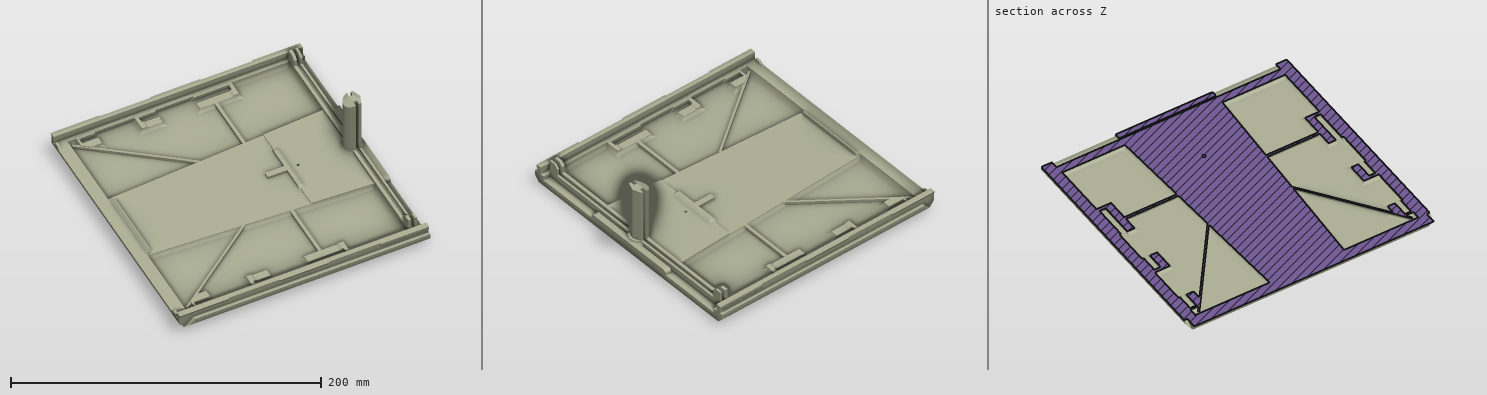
import cadquery as cq
import math

WIDTH = 188.0
LENGTH = 180.0
HALF_WIDTH = WIDTH / 2
DECK_Z = 7.9
RIB_TOP_Z = 10.2
FLANGE_EDGE_Z = 4.0
BOTTOM_HALF_WIDTH = 90.2

LIP_BOTTOM_Z = 5.6
UNDERCUT_DEPTH = 3.8
UNDERCUT_Z = 1.5
FLANGE_END_TOP_Y = 10.0
FLANGE_END_BOTTOM_Y = 1.9

RAIL_OUTER_X = 91.7
RAIL_INNER_X = 88.4
RAIL_TOP_Z = 13.5
LIP_OUTER_X = 92.5
SNAP_LIPS = [
    (0.0, 35.3, 11.7, 13.2),
    (72.0, 107.7, 11.7, 13.2),
    (145.1, LENGTH, 10.5, 11.7),
]

POCKET_DEPTH = 3.2
FLOOR_Z = DECK_Z - POCKET_DEPTH
COVE_RADIUS = 3.0
POCKET_OUTER_X = 85.5
POCKET_FRONT_Y = 8.6
POCKET_BACK_Y = 168.3
PANEL_BACK_HALF_WIDTH = 37.0
PANEL_FRONT_HALF_WIDTH = 28.2

BLOCK_INNER_X = 74.5
FRONT_BLOCK_Y = (14.9, 28.0)
MIDDLE_BLOCK_Y = (56.8, 71.6)
REAR_BLOCK_Y = (98.9, 126.9)
SLOT_OUTER_X = 84.5
SLOT_INNER_X = 79.9
FRONT_SLOT_Y = 16.4
BAR_THICKNESS = 2.5
TONGUE_DROP = 1.0
STEP_OFFSET = 3.4
STEP_LENGTH = 1.5

CROSS_RIB_Y = 110.2
CROSS_RIB_WIDTH = 2.3
CROSS_RIB_INNER_X = 33.8
DIAGONAL_RIB_WIDTH = 1.5
DIAGONAL_START = (32.0, 76.7)
DIAGONAL_END = (81.8, 10.3)

PANEL_STEP_Y = 124.0
PANEL_Z = 7.1
PANEL_OVERCUT = 0.2
UPSTAND_TOP_Z = RIB_TOP_Z
UPSTAND_SLOPE = 2.5
UPSTAND_TOP_WIDTH = 0.8
UPSTAND_HALF_LENGTH = 27.5
UPSTAND_END_SLOPE = 1.3

TEE_TOP_Z = 9.2
TEE_FRONT_Y = 123.0
TEE_BACK_Y = 125.4
TEE_FOOT_Y = 127.8
TEE_HALF_LENGTH = 17.3
TEE_FOOT_HALF_LENGTH = 20.0
STEM_HALF_WIDTH = 2.0
STEM_FRONT_Y = 109.0
HOLE_DIAMETER = 2.0
HOLE_Y = 132.0
HOLE_DEPTH = 2.8

BACK_RIBS_Y = [(POCKET_BACK_Y, 170.5), (173.0, 174.5)]
HOOK_OUTER_X = POCKET_OUTER_X
HOOK_INNER_X = 78.2
HOOK_TOP_Z = 18.2
HOOK_CHAMFER = 2.8
STRIP_FRONT_Y = BACK_RIBS_Y[1][1]
HUMP_HALF_LENGTH = 37.6
HUMP_FRONT_Y = 175.2
HUMP_ROUND = 3.0

PILLAR_RADIUS = 6.8
PILLAR_Y = 171.5
PILLAR_FLAT_Y = 170.3
PILLAR_TOP_Z = 51.0
PILLAR_CHAMFER_Z = 2.6
NECK_HALF_WIDTH = 2.8
HEAD_FRONT_Y = 172.8
HEAD_EAVES_Y = STRIP_FRONT_Y
HEAD_RIDGE_Y = 176.7
HEAD_HALF_WIDTH = 6.2
BASE_COVE = 2.3

TAB_OUTER_X = 86.1
TAB_INNER_X = 80.5
TAB_CHAMFER = 2.3
TAB_DEPTH = 1.7
TAB_TOP_Z = RIB_TOP_Z


def box(x0, x1, y0, y1, z0, z1):
    """Axis-aligned box between two corners."""
    return cq.Workplane("XY").box(x1 - x0, y1 - y0, z1 - z0, centered=False).translate((x0, y0, z0))


def prism_xz(points, y0, y1):
    """XZ outline extruded from y0 to y1."""
    return cq.Workplane("XZ", origin=(0, y0, 0)).polyline(points).close().extrude(y0 - y1)


def prism_yz(points, x0, x1):
    """YZ outline extruded from x0 to x1."""
    return cq.Workplane("YZ", origin=(x0, 0, 0)).polyline(points).close().extrude(x1 - x0)


def prism_xy(points, z0, z1):
    """XY outline extruded from z0 to z1."""
    return cq.Workplane("XY", origin=(0, 0, z0)).polyline(points).close().extrude(z1 - z0)


def both_sides(solid):
    """The solid joined with its mirror image across X = 0."""
    return solid.union(solid.mirror("YZ"))


def make_plate():
    """Base plate with chamfered flanges, an undercut front and shortened flange ends."""
    section = [
        (-BOTTOM_HALF_WIDTH, 0),
        (BOTTOM_HALF_WIDTH, 0),
        (HALF_WIDTH, FLANGE_EDGE_Z),
        (HALF_WIDTH, DECK_Z),
        (-HALF_WIDTH, DECK_Z),
        (-HALF_WIDTH, FLANGE_EDGE_Z),
    ]
    undercut = prism_yz(
        [(0, 0), (UNDERCUT_DEPTH, 0), (UNDERCUT_DEPTH, UNDERCUT_Z), (0, LIP_BOTTOM_Z)],
        -HALF_WIDTH, HALF_WIDTH,
    )
    flange_end = prism_yz(
        [(0, 0), (FLANGE_END_BOTTOM_Y, 0), (FLANGE_END_TOP_Y, DECK_Z), (0, DECK_Z)],
        RAIL_OUTER_X, HALF_WIDTH,
    )
    return prism_xz(section, 0, LENGTH).cut(undercut).cut(both_sides(flange_end))


def make_rail():
    """Upright rail along one side, with its three snap lips."""
    rail = box(RAIL_INNER_X, RAIL_OUTER_X, 0, LENGTH, DECK_Z, RAIL_TOP_Z)
    for y0, y1, start_z, full_z in SNAP_LIPS:
        lip = [
            (RAIL_INNER_X, start_z),
            (RAIL_OUTER_X, start_z),
            (LIP_OUTER_X, full_z),
            (LIP_OUTER_X, RAIL_TOP_Z),
            (RAIL_INNER_X, RAIL_TOP_Z),
        ]
        rail = rail.union(prism_xz(lip, y0, y1))
    return rail


def line_value(at, start, end):
    """Second coordinate of the straight line through start and end where the first equals at."""
    return start[1] + (end[1] - start[1]) * (at - start[0]) / (end[0] - start[0])


def diagonal_y(x):
    """Y of the diagonal rib's centre line at a given X."""
    return line_value(x, DIAGONAL_START, DIAGONAL_END)


def diagonal_x(y):
    """X of the diagonal rib's centre line at a given Y."""
    return line_value(y, DIAGONAL_START[::-1], DIAGONAL_END[::-1])


def panel_half_width(y):
    """Half width of the tapered centre panel at a given Y."""
    return line_value(y, (POCKET_FRONT_Y, PANEL_FRONT_HALF_WIDTH), (POCKET_BACK_Y, PANEL_BACK_HALF_WIDTH))


def make_pocket():
    """Pocket cutter whose outline steps around the three blocks.

    The lower edges are coved, except along the outer wall between the front and rear blocks.
    """
    outline = [
        (POCKET_OUTER_X, POCKET_BACK_Y),
        (PANEL_BACK_HALF_WIDTH, POCKET_BACK_Y),
        (PANEL_FRONT_HALF_WIDTH, POCKET_FRONT_Y),
        (POCKET_OUTER_X, POCKET_FRONT_Y),
    ]
    for y0, y1 in (FRONT_BLOCK_Y, MIDDLE_BLOCK_Y, REAR_BLOCK_Y):
        outline += [
            (POCKET_OUTER_X, y0),
            (BLOCK_INNER_X, y0),
            (BLOCK_INNER_X, y1),
            (POCKET_OUTER_X, y1),
        ]
    cutter = prism_xy(outline, FLOOR_Z, DECK_Z)

    def is_coved(edge):
        middle = edge.Center()
        on_outer_wall = math.isclose(middle.x, POCKET_OUTER_X)
        return not (on_outer_wall and FRONT_BLOCK_Y[1] < middle.y < REAR_BLOCK_Y[0])

    return cutter.faces("<Z").edges().filter(is_coved).fillet(COVE_RADIUS)


def make_front_clearance():
    """Removes the front block and its cove where they lie in front of the diagonal rib."""
    x0 = BLOCK_INNER_X - COVE_RADIUS
    y0 = POCKET_FRONT_Y + COVE_RADIUS
    return prism_xy([(x0, y0), (diagonal_x(y0), y0), (x0, diagonal_y(x0))], FLOOR_Z, DECK_Z)


def make_slots():
    """Slots beside the tongues of the three blocks, down to the pocket floor."""
    slot_ends = [
        (FRONT_SLOT_Y, FRONT_BLOCK_Y[1] + COVE_RADIUS),
        (MIDDLE_BLOCK_Y[0] + BAR_THICKNESS, MIDDLE_BLOCK_Y[1] + COVE_RADIUS),
        (REAR_BLOCK_Y[0] - COVE_RADIUS, REAR_BLOCK_Y[1] - BAR_THICKNESS),
    ]
    slots = cq.Workplane("XY")
    for y0, y1 in slot_ends:
        slots = slots.union(box(SLOT_INNER_X, SLOT_OUTER_X, y0, y1, FLOOR_Z, DECK_Z))
    return slots


def make_tongue_drop(bar_y, end_y):
    """Lowers a block's tongue from just past its bar, with a sloped step at the bar."""
    toward_end = math.copysign(1, end_y - bar_y)
    start_y = bar_y + toward_end * STEP_OFFSET
    low_z = DECK_Z - TONGUE_DROP
    profile = [
        (start_y, DECK_Z),
        (start_y + toward_end * STEP_LENGTH, low_z),
        (end_y + toward_end * COVE_RADIUS, low_z),
        (end_y + toward_end * COVE_RADIUS, DECK_Z),
    ]
    return prism_yz(profile, BLOCK_INNER_X - COVE_RADIUS, SLOT_INNER_X)


def make_pocket_ribs():
    """Straight cross rib and diagonal rib of one pocket."""
    cross = box(
        CROSS_RIB_INNER_X, BLOCK_INNER_X,
        CROSS_RIB_Y - CROSS_RIB_WIDTH / 2, CROSS_RIB_Y + CROSS_RIB_WIDTH / 2,
        FLOOR_Z, PANEL_Z,
    )
    run_x = DIAGONAL_END[0] - DIAGONAL_START[0]
    run_y = DIAGONAL_END[1] - DIAGONAL_START[1]
    diagonal = (
        cq.Workplane("XY")
        .rect(math.hypot(run_x, run_y), DIAGONAL_RIB_WIDTH)
        .extrude(PANEL_Z - FLOOR_Z)
        .rotate((0, 0, 0), (0, 0, 1), math.degrees(math.atan2(run_y, run_x)))
        .translate((DIAGONAL_START[0] + run_x / 2, DIAGONAL_START[1] + run_y / 2, FLOOR_Z))
    )
    return cross.union(diagonal)


def make_panel_recess():
    """Lowers the centre panel between its step and its front edge."""
    back_x = panel_half_width(PANEL_STEP_Y) + PANEL_OVERCUT
    front_x = panel_half_width(POCKET_FRONT_Y) + PANEL_OVERCUT
    outline = [
        (-back_x, PANEL_STEP_Y),
        (back_x, PANEL_STEP_Y),
        (front_x, POCKET_FRONT_Y),
        (-front_x, POCKET_FRONT_Y),
    ]
    return prism_xy(outline, PANEL_Z, DECK_Z)


def make_upstand():
    """Low wall along the panel's front edge, with a sloped front face and sloped ends."""
    top_y = POCKET_FRONT_Y + UPSTAND_SLOPE
    back_y = top_y + UPSTAND_TOP_WIDTH
    profile = [
        (POCKET_FRONT_Y, PANEL_Z),
        (POCKET_FRONT_Y, DECK_Z),
        (top_y, UPSTAND_TOP_Z),
        (back_y, UPSTAND_TOP_Z),
        (back_y, PANEL_Z),
    ]
    top_x = UPSTAND_HALF_LENGTH - UPSTAND_END_SLOPE
    front_outline = [
        (-UPSTAND_HALF_LENGTH, PANEL_Z),
        (UPSTAND_HALF_LENGTH, PANEL_Z),
        (UPSTAND_HALF_LENGTH, DECK_Z),
        (top_x, UPSTAND_TOP_Z),
        (-top_x, UPSTAND_TOP_Z),
        (-UPSTAND_HALF_LENGTH, DECK_Z),
    ]
    wall = prism_yz(profile, -UPSTAND_HALF_LENGTH, UPSTAND_HALF_LENGTH)
    return wall.intersect(prism_xz(front_outline, POCKET_FRONT_Y, back_y))


def make_tee():
    """T-shaped rib whose bar has sloped back and ends."""
    bar = prism_yz(
        [
            (TEE_FRONT_Y, PANEL_Z),
            (TEE_FOOT_Y, PANEL_Z),
            (TEE_FOOT_Y, DECK_Z),
            (TEE_BACK_Y, TEE_TOP_Z),
            (TEE_FRONT_Y, TEE_TOP_Z),
        ],
        -TEE_FOOT_HALF_LENGTH, TEE_FOOT_HALF_LENGTH,
    )
    ends = prism_xz(
        [
            (-TEE_FOOT_HALF_LENGTH, PANEL_Z),
            (TEE_FOOT_HALF_LENGTH, PANEL_Z),
            (TEE_HALF_LENGTH, TEE_TOP_Z),
            (-TEE_HALF_LENGTH, TEE_TOP_Z),
        ],
        TEE_FRONT_Y, TEE_FOOT_Y,
    )
    stem = box(-STEM_HALF_WIDTH, STEM_HALF_WIDTH, STEM_FRONT_Y, TEE_BACK_Y, PANEL_Z, TEE_TOP_Z)
    return bar.intersect(ends).union(stem)


def make_back_edge():
    """Twin ribs with a hook plate standing on each end, and the hump in the strip behind."""
    edge = box(-HUMP_HALF_LENGTH, HUMP_HALF_LENGTH, HUMP_FRONT_Y, LENGTH, FLOOR_Z, DECK_Z)
    edge = edge.edges("|Y and >Z").fillet(HUMP_ROUND)
    hook = [
        (HOOK_OUTER_X, DECK_Z),
        (HOOK_OUTER_X, HOOK_TOP_Z),
        (HOOK_INNER_X + HOOK_CHAMFER, HOOK_TOP_Z),
        (HOOK_INNER_X, HOOK_TOP_Z - HOOK_CHAMFER),
        (HOOK_INNER_X, DECK_Z),
    ]
    for y0, y1 in BACK_RIBS_Y:
        edge = edge.union(box(-HOOK_OUTER_X, HOOK_OUTER_X, y0, y1, DECK_Z, RIB_TOP_Z))
        edge = edge.union(both_sides(prism_xz(hook, y0, y1)))
    return edge


def make_pillar():
    """Half-round pillar with a neck and a roof-shaped head behind, on a coved base."""
    height = PILLAR_TOP_Z - DECK_Z
    front = cq.Workplane("XY", origin=(0, PILLAR_Y, DECK_Z)).circle(PILLAR_RADIUS).extrude(height)
    front = front.cut(
        box(-PILLAR_RADIUS, PILLAR_RADIUS, PILLAR_FLAT_Y, PILLAR_Y + PILLAR_RADIUS, DECK_Z, PILLAR_TOP_Z)
    )
    front_y = PILLAR_Y - PILLAR_RADIUS
    chamfer = prism_yz(
        [
            (front_y, PILLAR_TOP_Z - PILLAR_CHAMFER_Z),
            (PILLAR_FLAT_Y, PILLAR_TOP_Z),
            (front_y, PILLAR_TOP_Z),
        ],
        -PILLAR_RADIUS, PILLAR_RADIUS,
    )
    back = [
        (NECK_HALF_WIDTH, PILLAR_FLAT_Y),
        (NECK_HALF_WIDTH, HEAD_FRONT_Y),
        (HEAD_HALF_WIDTH, HEAD_FRONT_Y),
        (HEAD_HALF_WIDTH, HEAD_EAVES_Y),
        (0, HEAD_RIDGE_Y),
        (-HEAD_HALF_WIDTH, HEAD_EAVES_Y),
        (-HEAD_HALF_WIDTH, HEAD_FRONT_Y),
        (-NECK_HALF_WIDTH, HEAD_FRONT_Y),
        (-NECK_HALF_WIDTH, PILLAR_FLAT_Y),
    ]
    return front.cut(chamfer).union(prism_xy(back, DECK_Z, PILLAR_TOP_Z)).union(make_pillar_base())


def make_pillar_base():
    """Concave flare around the foot, open at the rib groove and flush with the back edge."""
    reach = PILLAR_RADIUS + BASE_COVE
    flare = (
        cq.Workplane("XZ", origin=(0, PILLAR_Y, DECK_Z))
        .lineTo(reach, 0)
        .radiusArc((PILLAR_RADIUS, BASE_COVE), BASE_COVE)
        .lineTo(0, BASE_COVE)
        .close()
        .revolve(360, (0, 0, 0), (0, 1, 0))
    )
    groove = box(-reach, reach, BACK_RIBS_Y[0][1], BACK_RIBS_Y[1][0], DECK_Z, PILLAR_TOP_Z)
    return flare.intersect(box(-reach, reach, 0, LENGTH, DECK_Z, PILLAR_TOP_Z)).cut(groove)


def make_tab():
    """Small chamfered tab standing on the front edge."""
    profile = [
        (TAB_OUTER_X, DECK_Z),
        (TAB_OUTER_X, TAB_TOP_Z),
        (TAB_INNER_X + TAB_CHAMFER, TAB_TOP_Z),
        (TAB_INNER_X, DECK_Z),
    ]
    return prism_xz(profile, 0, TAB_DEPTH)


plate = make_plate()
pockets = make_pocket().union(make_front_clearance()).union(make_slots())
pockets = pockets.union(make_tongue_drop(REAR_BLOCK_Y[1], REAR_BLOCK_Y[0]))
pockets = pockets.union(make_tongue_drop(*MIDDLE_BLOCK_Y))
back_strip = box(-POCKET_OUTER_X, POCKET_OUTER_X, STRIP_FRONT_Y, LENGTH, FLOOR_Z, DECK_Z)
plate = plate.cut(both_sides(pockets)).cut(make_panel_recess()).cut(back_strip)

side_features = make_rail().union(make_pocket_ribs()).union(make_tab())
plate = plate.union(both_sides(side_features))
plate = plate.union(make_upstand()).union(make_tee())
plate = plate.union(make_back_edge()).union(make_pillar())
hole = cq.Workplane("XY", origin=(0, HOLE_Y, DECK_Z)).circle(HOLE_DIAMETER / 2).extrude(-HOLE_DEPTH)
result = plate.cut(hole)